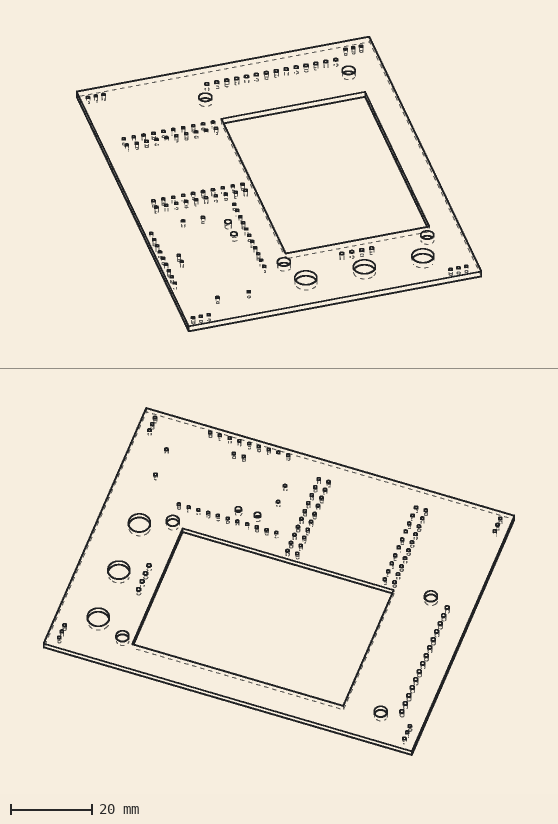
import cadquery as cq

BOARD_LENGTH = 96.0
BOARD_WIDTH = 75.0
BOARD_THICKNESS = 1.6

HEADER_HOLE = 1.0
SMALL_HOLE = 0.8
MODULE_HOLE = 0.76
POST_HOLE = 1.6
MOUNT_HOLE = 3.2
SHAFT_HOLE = 5.4

HEADER_PITCH = 2.54

DISPLAY_AXIS_Y = 48.0
WINDOW_LENGTH = 55.0
WINDOW_WIDTH = 36.8
WINDOW_CENTER = (47.95, 49.4)
MOUNT_SPACING_X = 67.3
MOUNT_SPACING_Y = 36.72
MOUNT_CENTER_X = 44.85
MOUNT_ROWS = 2
DISPLAY_HEADER_X = 6.33
DISPLAY_HEADER_PINS = 14
CARD_HEADER_X = 79.5
CARD_HEADER_PINS = 4

SHAFT_X = 86.0
SHAFT_PITCH = 15.0
SHAFT_COUNT = 3

TERMINAL_INSET_X = 3.0
TERMINAL_PITCH = 2.0
TERMINAL_COUNT = 3
TERMINAL_CENTERS_Y = (4.0, 70.0)

SOCKET_ROWS = 10
SOCKET_COLUMNS = 2
SOCKET_BOTTOM_Y = 5.79
SOCKET_LEFT_X = (21.04, 46.41)

MODULE_LEFT_X = 58.44
MODULE_PINS = 9
MODULE_LOWER_Y = 1.6
MODULE_ROW_SPACING = 22.86
MODULE_UPPER_Y = MODULE_LOWER_Y + MODULE_ROW_SPACING
MODULE_EXTRA_PINS = 2
MODULE_PAIR_OFFSET_PINS = 4
MODULE_PAIR_X = MODULE_LEFT_X + MODULE_PAIR_OFFSET_PINS * HEADER_PITCH
MODULE_PAIR_Y = 5.6
POST_Y = 21.0
POST_LEFT_X = 59.5
POST_PITCH = 5.0
POST_COUNT = 2

LEAD_COUNT = 2
LEFT_LEAD_X = 56.05
LEFT_LEAD_BOTTOM_Y = 10.5
LEFT_LEAD_PITCH = 2 * HEADER_PITCH
RIGHT_LEAD_X = 87.15
RIGHT_LEAD_BOTTOM_Y = 10.0
RIGHT_LEAD_PITCH = 8.0


def column(x, bottom_y, count, pitch):
    """Points going up from (x, bottom_y)."""
    return [(x, bottom_y + i * pitch) for i in range(count)]


def centered_column(x, center_y, count, pitch):
    """Vertical points spread evenly about (x, center_y)."""
    return column(x, center_y - (count - 1) * pitch / 2, count, pitch)


def row(left_x, y, count, pitch):
    """Points going right from (left_x, y)."""
    return [(left_x + i * pitch, y) for i in range(count)]


def drill(board, points, diameter):
    """Cut through holes at points given in board coordinates."""
    plugs = cq.Workplane("XY").pushPoints(points).circle(diameter / 2).extrude(BOARD_THICKNESS)
    return board.cut(plugs)


def make_board():
    """Plain rectangular board."""
    return cq.Workplane("XY").box(BOARD_LENGTH, BOARD_WIDTH, BOARD_THICKNESS, centered=False)


def cut_display(board):
    """Display window, its four mounting holes and its two headers."""
    window = (
        cq.Workplane("XY")
        .center(*WINDOW_CENTER)
        .rect(WINDOW_LENGTH, WINDOW_WIDTH)
        .extrude(BOARD_THICKNESS)
    )
    board = board.cut(window)
    mounts = []
    for side in (-1, 1):
        x = MOUNT_CENTER_X + side * MOUNT_SPACING_X / 2
        mounts += centered_column(x, DISPLAY_AXIS_Y, MOUNT_ROWS, MOUNT_SPACING_Y)
    board = drill(board, mounts, MOUNT_HOLE)
    pins = centered_column(DISPLAY_HEADER_X, DISPLAY_AXIS_Y, DISPLAY_HEADER_PINS, HEADER_PITCH)
    pins += centered_column(CARD_HEADER_X, DISPLAY_AXIS_Y, CARD_HEADER_PINS, HEADER_PITCH)
    return drill(board, pins, HEADER_HOLE)


def cut_shafts(board):
    """Column of large holes for the control shafts."""
    points = centered_column(SHAFT_X, DISPLAY_AXIS_Y, SHAFT_COUNT, SHAFT_PITCH)
    return drill(board, points, SHAFT_HOLE)


def cut_corner_terminals(board):
    """Three holes in each corner of the board."""
    points = []
    for x in (TERMINAL_INSET_X, BOARD_LENGTH - TERMINAL_INSET_X):
        for center_y in TERMINAL_CENTERS_Y:
            points += centered_column(x, center_y, TERMINAL_COUNT, TERMINAL_PITCH)
    return drill(board, points, SMALL_HOLE)


def cut_sockets(board):
    """Two double-column socket strips."""
    points = []
    for left_x in SOCKET_LEFT_X:
        for i in range(SOCKET_COLUMNS):
            points += column(left_x + i * HEADER_PITCH, SOCKET_BOTTOM_Y, SOCKET_ROWS, HEADER_PITCH)
    return drill(board, points, SMALL_HOLE)


def cut_module(board):
    """Facing pin rows of the module, its pin pair and its two locating posts."""
    pins = row(MODULE_LEFT_X, MODULE_LOWER_Y, MODULE_PINS, HEADER_PITCH)
    pins += row(MODULE_LEFT_X, MODULE_UPPER_Y, MODULE_PINS, HEADER_PITCH)
    pins += row(MODULE_PAIR_X, MODULE_PAIR_Y, MODULE_EXTRA_PINS, HEADER_PITCH)
    extra_left_x = MODULE_LEFT_X - MODULE_EXTRA_PINS * HEADER_PITCH
    pins += row(extra_left_x, MODULE_UPPER_Y, MODULE_EXTRA_PINS, HEADER_PITCH)
    board = drill(board, pins, MODULE_HOLE)
    return drill(board, row(POST_LEFT_X, POST_Y, POST_COUNT, POST_PITCH), POST_HOLE)


def cut_leads(board):
    """Two vertical pairs of small lead holes."""
    board = drill(board, column(LEFT_LEAD_X, LEFT_LEAD_BOTTOM_Y, LEAD_COUNT, LEFT_LEAD_PITCH), SMALL_HOLE)
    return drill(board, column(RIGHT_LEAD_X, RIGHT_LEAD_BOTTOM_Y, LEAD_COUNT, RIGHT_LEAD_PITCH), SMALL_HOLE)


result = make_board()
result = cut_display(result)
result = cut_shafts(result)
result = cut_corner_terminals(result)
result = cut_sockets(result)
result = cut_module(result)
result = cut_leads(result)